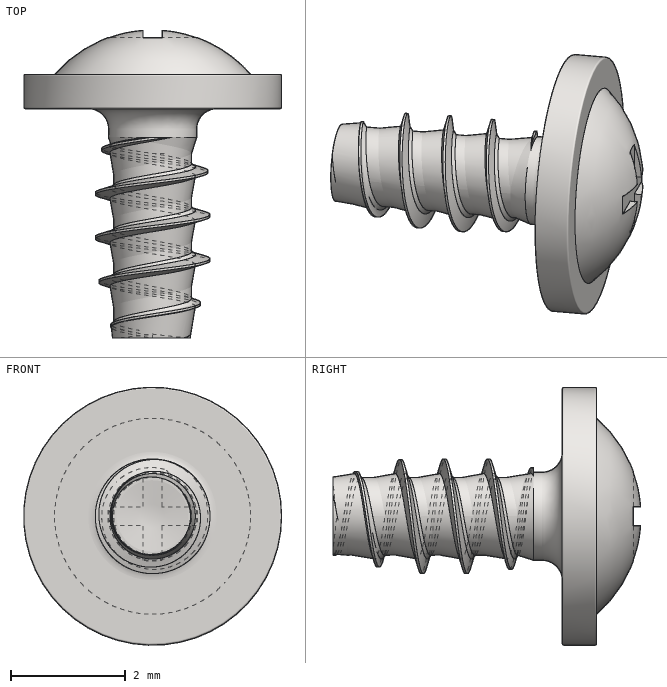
import cadquery as cq
import math


flange_diameter = 4.5
flange_thickness = 0.6
flange_edge_radius = 0.03
dome_diameter = 3.42
dome_height = 0.78
slot_width = 0.33
slot_floor = 0.64

shank_length = 4.0
neck_radius = 0.77
neck_fillet = 0.35
neck_length = 0.5
run_in_length = 0.28
core_radius = 0.68
tip_radius = 0.66
tip_taper_length = 0.25
tip_recess_radius = 0.625
tip_recess_depth = 0.07

pitch = 0.77
first_crest_depth = 0.515
crest_radius = 1.0
crest_half_width = 0.02
flank_slope = 0.27
root_radius = 0.745
root_taper_end = 0.52
root_blend_run = 0.065
run_in_rate = 0.15
run_out_rate = 0.207
full_crest_start = 1.0
full_crest_end = 2.95
thread_start = -0.4
thread_end = 4.5
points_per_turn = 24
root_sink = 0.012
ridge_floor_radius = 0.64
min_crest_step = 0.01


def revolve_about_y(profile):
    return profile.close().revolve(360, (0, 0, 0), (0, 1, 0))


def make_head():
    flange = (
        cq.Workplane("XZ")
        .circle(flange_diameter / 2)
        .extrude(-flange_thickness)
        .edges()
        .fillet(flange_edge_radius)
    )
    dome_base_radius = dome_diameter / 2
    sphere_radius = (dome_base_radius**2 + dome_height**2) / (2 * dome_height)
    half_angle = math.asin(dome_base_radius / sphere_radius) / 2
    top = flange_thickness + dome_height
    center = top - sphere_radius
    arc_middle = (
        sphere_radius * math.sin(half_angle),
        center + sphere_radius * math.cos(half_angle),
    )
    dome = revolve_about_y(
        cq.Workplane("XY")
        .moveTo(0, flange_thickness / 2)
        .lineTo(dome_base_radius, flange_thickness / 2)
        .lineTo(dome_base_radius, flange_thickness)
        .threePointArc(arc_middle, (0, top))
    )
    return flange.union(dome)


def cut_cross_slot(head):
    floor = flange_thickness + slot_floor
    for length_x, length_z in ((dome_diameter, slot_width), (slot_width, dome_diameter)):
        slot = cq.Workplane("XY").box(length_x, dome_height, length_z)
        head = head.cut(slot.translate((0, floor + dome_height / 2, 0)))
    return head


def make_shank():
    fillet_outer = neck_radius + neck_fillet
    fillet_reach = neck_fillet * math.sqrt(0.5)
    fillet_middle = (fillet_outer - fillet_reach, fillet_reach - neck_fillet)
    return revolve_about_y(
        cq.Workplane("XY")
        .moveTo(0, flange_thickness / 2)
        .lineTo(fillet_outer, flange_thickness / 2)
        .lineTo(fillet_outer, 0)
        .threePointArc(fillet_middle, (neck_radius, -neck_fillet))
        .lineTo(neck_radius, -neck_length)
        .lineTo(core_radius, -neck_length - run_in_length)
        .lineTo(core_radius, tip_taper_length - shank_length)
        .lineTo(tip_radius, -shank_length)
        .lineTo(tip_recess_radius, -shank_length)
        .lineTo(0, tip_recess_depth - shank_length)
    )


def crest_at(turn):
    run_in = crest_radius - run_in_rate * max(0, full_crest_start - turn)
    run_out = crest_radius - run_out_rate * max(0, turn - full_crest_end)
    return min(run_in, run_out)


def ridge_section(turn):
    """Outline of the thread ridge as (axial offset towards the tip, radius)."""
    crest = crest_at(turn)
    root = min(root_radius, crest - min_crest_step)
    foot = crest_half_width + flank_slope * (crest - root)
    base_radius = core_radius - root_sink
    return [
        (-foot - root_blend_run, ridge_floor_radius),
        (-foot - root_blend_run, base_radius),
        (-foot, root),
        (-crest_half_width, crest),
        (crest_half_width, crest),
        (foot, root),
        (root_taper_end, base_radius),
        (root_taper_end, ridge_floor_radius),
    ]


def ridge_point(turn, corner):
    offset, radius = ridge_section(turn)[corner]
    angle = 2 * math.pi * turn
    depth = first_crest_depth + pitch * turn + offset
    return cq.Vector(-radius * math.sin(angle), -depth, radius * math.cos(angle))


def make_thread():
    corners = len(ridge_section(full_crest_start))
    faces = []
    breaks = (thread_start, full_crest_start, full_crest_end, thread_end)
    for start, end in zip(breaks, breaks[1:]):
        steps = math.ceil((end - start) * points_per_turn)
        turns = [start + (end - start) * i / steps for i in range(steps + 1)]
        curves = [
            cq.Edge.makeSpline([ridge_point(turn, corner) for turn in turns])
            for corner in range(corners)
        ]
        for corner in range(corners):
            faces.append(cq.Face.makeRuledSurface(curves[corner - 1], curves[corner]))
    for turn in (thread_start, thread_end):
        outline = [ridge_point(turn, corner) for corner in range(corners)]
        faces.append(cq.Face.makeFromWires(cq.Wire.makePolygon(outline, close=True)))
    ridge = cq.Solid.makeSolid(cq.Shell.makeShell(faces))
    zone = (
        cq.Workplane("XZ", origin=(0, -neck_length, 0))
        .circle(flange_diameter / 2)
        .extrude(shank_length - neck_length)
    )
    return zone.intersect(cq.Workplane(ridge))


result = cut_cross_slot(make_head()).union(make_shank()).union(make_thread())